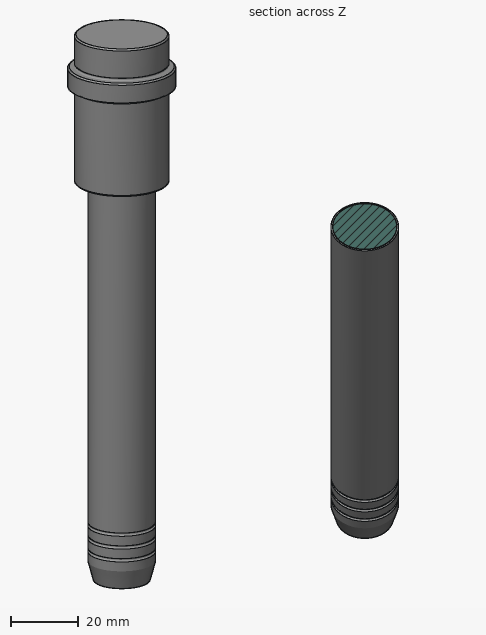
import cadquery as cq
import math

total_length = 170.0

head_radius = 14.0
head_length = 46.0
head_top_chamfer = 0.5
head_bottom_chamfer = 0.5
collar_radius = 16.0
collar_depth = 10.0
collar_thickness = 6.0
collar_chamfer = 0.5

shank_radius = 10.0
neck_radius = 9.5
neck_length = 1.0
taper_length = 6.0
taper_angle = 15.0
tip_fillet = 0.5

groove_radius = 0.5
shank_groove_count = 3
shank_groove_pitch = 4.0
lowest_groove_height = 9.5

head_bottom = total_length - head_length
collar_top = total_length - collar_depth
collar_bottom = collar_top - collar_thickness
tip_radius = shank_radius - taper_length * math.tan(math.radians(taper_angle))


def revolve_about_z(profile):
    return profile.revolve(360, (0, 0, 0), (0, 1, 0))


def make_body():
    """Pin without grooves, turned from a half outline on the -X side of the axis."""
    outline = [
        (0, 0),
        (tip_radius, 0),
        (shank_radius, taper_length),
        (shank_radius, head_bottom - neck_length),
        (neck_radius, head_bottom - neck_length),
        (neck_radius, head_bottom),
        (head_radius - head_bottom_chamfer, head_bottom),
        (head_radius, head_bottom + head_bottom_chamfer),
        (head_radius, collar_bottom),
        (collar_radius, collar_bottom),
        (collar_radius, collar_top - collar_chamfer),
        (collar_radius - collar_chamfer, collar_top),
        (head_radius, collar_top),
        (head_radius, total_length - head_top_chamfer),
        (head_radius - head_top_chamfer, total_length),
        (0, total_length),
    ]
    profile = cq.Workplane("XZ").polyline([(-radius, height) for radius, height in outline]).close()
    return revolve_about_z(profile).faces("<Z").edges().fillet(tip_fillet)


def make_groove(surface_radius, height):
    """Ring of round section that cuts a half-round groove into a cylinder."""
    section = cq.Workplane("XZ").moveTo(-surface_radius, height).circle(groove_radius)
    return revolve_about_z(section)


result = make_body()
for index in range(shank_groove_count):
    groove_height = lowest_groove_height + index * shank_groove_pitch
    result = result.cut(make_groove(shank_radius, groove_height))
for groove_height in (collar_bottom - groove_radius, collar_top + groove_radius):
    result = result.cut(make_groove(head_radius, groove_height))